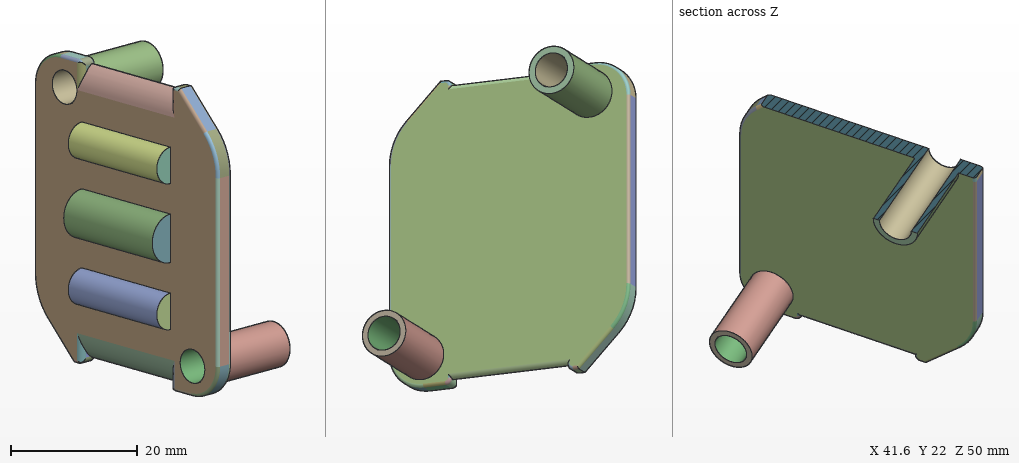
import cadquery as cq
import math

width = 41.6
height = 50.0
thickness = 3.0
round_corner_radius = 6.0
chamfer_leg = 8.85
chamfer_blend_radius = 10.0
edge_radius = 0.5

notch_half_width = 10.0
notch_floor = 20.0
notch_corner_radius = 1.0
bar_front_radius = 5.0
bar_back_radius = 0.8
bar_overlap = 1.0

rib_length = 2 * notch_half_width
rib_spacing = 12.0
ribs = [(-rib_spacing, 3.0), (0, 4.0), (rib_spacing, 3.0)]

posts = [(-13.9, 19.9, 7.75, 15.0), (15.0, -20.0, 7.5, 14.9)]
bore_diameter = 5.55


def box(x0, x1, y0, y1, z0, z1):
    """Box between two opposite corners."""
    return cq.Workplane("XY").box(x1 - x0, y1 - y0, z1 - z0, centered=False).translate((x0, y0, z0))


def both_ends(top):
    """The top feature together with its mirror image at the bottom."""
    return top.union(top.mirror("XY"))


def blank():
    """Plate with two round corners and two blended chamfers."""
    right = width / 2
    top = height / 2
    blend_setback = chamfer_blend_radius * math.tan(math.pi / 8)
    blend_offset = blend_setback * math.sqrt(0.5)
    blend_end_z = top - chamfer_leg - blend_setback
    blend_start = (right - blend_offset, top - chamfer_leg + blend_offset)
    blend_middle = (
        right - chamfer_blend_radius * (1 - math.cos(math.pi / 8)),
        blend_end_z + chamfer_blend_radius * math.sin(math.pi / 8),
    )
    round_x = right - round_corner_radius
    round_z = top - round_corner_radius
    round_mid_x = round_x + round_corner_radius * math.sqrt(0.5)
    round_mid_z = round_z + round_corner_radius * math.sqrt(0.5)
    chamfer_x = right - chamfer_leg
    return (
        cq.Workplane("XZ")
        .moveTo(-round_x, top)
        .lineTo(chamfer_x, top)
        .lineTo(*blend_start)
        .threePointArc(blend_middle, (right, blend_end_z))
        .lineTo(right, -round_z)
        .threePointArc((round_mid_x, -round_mid_z), (round_x, -top))
        .lineTo(-chamfer_x, -top)
        .lineTo(-blend_start[0], -blend_start[1])
        .threePointArc((-blend_middle[0], -blend_middle[1]), (-right, -blend_end_z))
        .lineTo(-right, round_z)
        .threePointArc((-round_mid_x, round_mid_z), (-round_x, top))
        .close()
        .extrude(-thickness)
    )


def notch_flare():
    """Cutter that rounds the front edges of the top notch's two walls."""
    outer = notch_half_width + notch_corner_radius
    r = notch_corner_radius
    flare = box(-outer, outer, 0, r, notch_floor, height / 2)
    for side in (-1, 1):
        wall = cq.Workplane("XY").center(side * outer, r).circle(r).extrude(height)
        flare = flare.cut(wall)
    return flare


def notched_plate():
    """Plate with both notches cut and its edges rounded."""
    notch = box(-notch_half_width, notch_half_width, 0, thickness, notch_floor, height / 2)
    plate = blank().cut(both_ends(notch))
    mouth = cq.selectors.BoxSelector(
        (-notch_half_width - 0.05, -0.5, -height), (notch_half_width + 0.05, thickness + 0.5, height)
    )
    plate = plate.edges("|Y").edges(mouth).edges(">Z or <Z").fillet(notch_corner_radius)
    plate = plate.faces("<Y or >Y").edges().fillet(edge_radius)
    return plate.cut(both_ends(notch_flare()))


def notch_bar():
    """Bar across the top notch: a broad front round meeting a small back round at a crease."""
    root = notch_floor - bar_overlap
    outer = notch_half_width + notch_corner_radius
    crease_y = thickness - bar_back_radius
    crease_angle = math.acos(1 - crease_y / bar_front_radius)
    crease_z = notch_floor + bar_front_radius * math.sin(crease_angle)
    front_middle = (
        bar_front_radius * (1 - math.cos(crease_angle / 2)),
        notch_floor + bar_front_radius * math.sin(crease_angle / 2),
    )
    back_end_z = crease_z - bar_back_radius
    back_middle = (
        crease_y + bar_back_radius * math.sqrt(0.5),
        back_end_z + bar_back_radius * math.sqrt(0.5),
    )
    return (
        cq.Workplane("YZ")
        .moveTo(0, root)
        .lineTo(0, notch_floor)
        .threePointArc(front_middle, (crease_y, crease_z))
        .threePointArc(back_middle, (thickness, back_end_z))
        .lineTo(thickness, root)
        .close()
        .extrude(outer, both=True)
    )


result = notched_plate().union(both_ends(notch_bar()))

for z, radius in ribs:
    rib = cq.Workplane("YZ").center(0, z).circle(radius).extrude(rib_length / 2, both=True)
    front_half = box(-width, width, -radius, thickness / 2, -height, height)
    result = result.union(rib.intersect(front_half))

for x, z, diameter, length in posts:
    post = cq.Workplane("XZ").center(x, z).circle(diameter / 2).extrude(-thickness - length)
    post = post.intersect(box(-width, width, thickness / 2, thickness + length, -height, height))
    result = result.union(post)

for x, z, diameter, length in posts:
    bore = cq.Workplane("XZ").center(x, z).circle(bore_diameter / 2).extrude(-thickness - length)
    result = result.cut(bore)